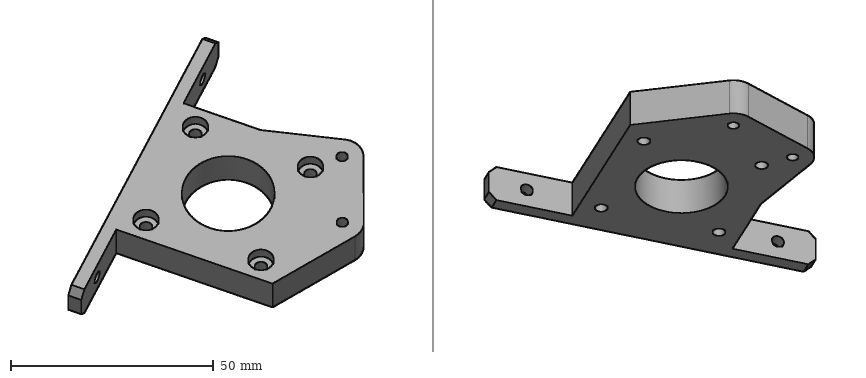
import cadquery as cq
import math

flange_length = 86.0
flange_thickness = 3.5
height = 10.0
flange_chamfer = 2.0
flange_hole_diameter = 3.2
flange_hole_spacing = 66.05

plate_half_width = 21.1
bore_x = 24.6
bore_diameter = 23.0
screw_spacing = 31.0
screw_diameter = 3.2
counterbore_diameter = 6.4
counterbore_depth = 3.0

arm_start_x = 24.25
front_corner_x = 45.6
arm_hole_diameter = 2.8
arm_edge_radius = 5.3
arm_hole_centers = [(46.0, 21.5), (54.0, 3.0)]


def tangent_points(start, end, start_radius, end_radius):
    """Contact points of the line touching two circles that lie on its left (radius 0 is a point)."""
    dx = end[0] - start[0]
    dy = end[1] - start[1]
    angle = math.atan2(dy, dx) + math.asin((start_radius - end_radius) / math.hypot(dx, dy))
    normal = (math.sin(angle), -math.cos(angle))
    return [
        (center[0] + radius * normal[0], center[1] + radius * normal[1])
        for center, radius in ((start, start_radius), (end, end_radius))
    ]


def point_on_arc(center, radius, first, last):
    """Middle of the short arc between two points of a circle."""
    angle = math.atan2(first[1] + last[1] - 2 * center[1], first[0] + last[0] - 2 * center[0])
    return (center[0] + radius * math.cos(angle), center[1] + radius * math.sin(angle))


def make_flange():
    return (
        cq.Workplane("XY")
        .box(flange_thickness, flange_length, height, centered=(False, True, False))
        .edges("|X")
        .chamfer(flange_chamfer)
    )


def make_plate():
    front_corner = (front_corner_x, -plate_half_width)
    arm_start = (arm_start_x, plate_half_width)
    corner, tip = arm_hole_centers
    _, tip_first = tangent_points(front_corner, tip, 0, arm_edge_radius)
    tip_last, corner_first = tangent_points(tip, corner, arm_edge_radius, arm_edge_radius)
    corner_last, _ = tangent_points(corner, arm_start, arm_edge_radius, 0)
    return (
        cq.Workplane("XY")
        .moveTo(0, -plate_half_width)
        .lineTo(*front_corner)
        .lineTo(*tip_first)
        .threePointArc(point_on_arc(tip, arm_edge_radius, tip_first, tip_last), tip_last)
        .lineTo(*corner_first)
        .threePointArc(point_on_arc(corner, arm_edge_radius, corner_first, corner_last), corner_last)
        .lineTo(*arm_start)
        .lineTo(0, plate_half_width)
        .close()
        .extrude(height)
    )


def cut_plate_holes(body):
    body = body.faces(">Z").workplane(origin=(bore_x, 0, height)).hole(bore_diameter)
    body = (
        body.faces(">Z")
        .workplane(origin=(bore_x, 0, height))
        .rarray(screw_spacing, screw_spacing, 2, 2)
        .cboreHole(screw_diameter, counterbore_diameter, counterbore_depth)
    )
    return (
        body.faces(">Z")
        .workplane(origin=(0, 0, height))
        .pushPoints(arm_hole_centers)
        .hole(arm_hole_diameter)
    )


def cut_flange_holes(body):
    drills = (
        cq.Workplane("YZ", origin=(0, 0, height / 2))
        .rarray(flange_hole_spacing, 0.9, 2, 1)
        .circle(flange_hole_diameter / 2)
        .extrude(flange_thickness)
    )
    return body.cut(drills)


result = cut_flange_holes(cut_plate_holes(make_flange().union(make_plate())))